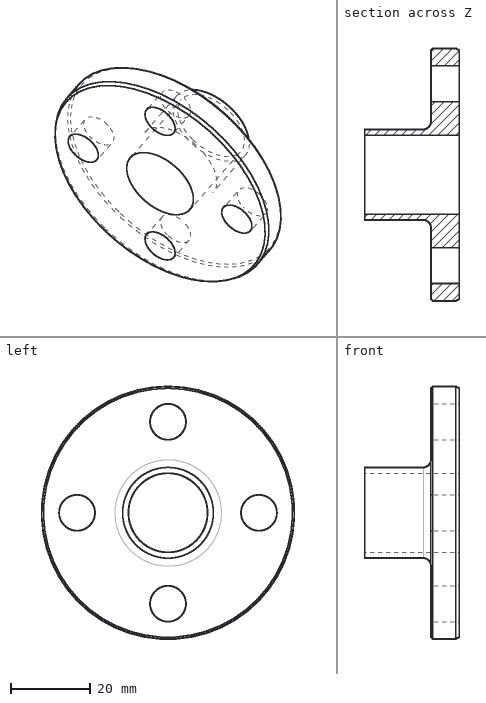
import cadquery as cq

flange_diameter = 64.0
flange_thickness = 7.2
total_length = 24.0
neck_diameter = 23.0
bore_diameter = 20.0
neck_fillet = 2.0

neck_side_chamfer = 0.5
back_chamfer_length = 0.95
back_chamfer_depth = 0.5

bolt_circle_diameter = 46.0
bolt_hole_diameter = 9.0
bolt_count = 4

neck_length = total_length - flange_thickness


def make_body():
    """Bored neck and chamfered flange, revolved about X; the flange's neck-side face is at X = 0."""
    flange_radius = flange_diameter / 2
    neck_radius = neck_diameter / 2
    bore_radius = bore_diameter / 2
    return (
        cq.Workplane("XZ")
        .moveTo(-neck_length, bore_radius)
        .lineTo(-neck_length, neck_radius)
        .lineTo(-neck_fillet, neck_radius)
        .radiusArc((0, neck_radius + neck_fillet), -neck_fillet)
        .lineTo(0, flange_radius - neck_side_chamfer)
        .lineTo(neck_side_chamfer, flange_radius)
        .lineTo(flange_thickness - back_chamfer_length, flange_radius)
        .lineTo(flange_thickness, flange_radius - back_chamfer_depth)
        .lineTo(flange_thickness, bore_radius)
        .close()
        .revolve(360, (0, 0, 0), (1, 0, 0))
    )


def make_bolt_holes():
    """Cylinders for the bolt holes, on the Y and Z axes."""
    return (
        cq.Workplane("YZ")
        .polarArray(bolt_circle_diameter / 2, 0, 360, bolt_count)
        .circle(bolt_hole_diameter / 2)
        .extrude(flange_thickness)
    )


result = make_body().cut(make_bolt_holes())